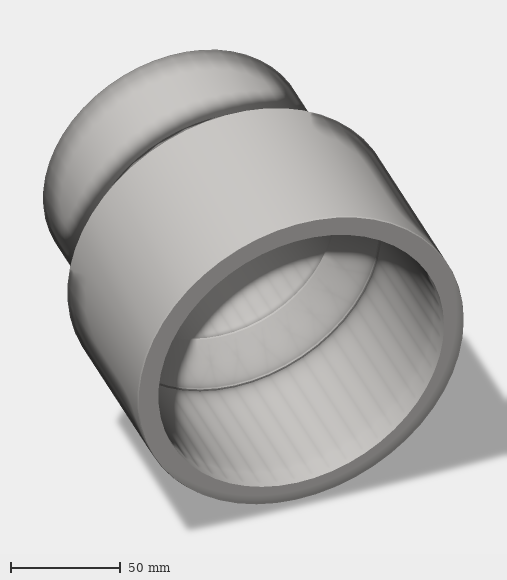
import cadquery as cq

total_length = 155.0
large_outer_diameter = 160.0
small_outer_diameter = 129.0
small_outer_length = 50.4
outer_cone_length = 18.5
end_chamfer_width = 0.3
end_chamfer_length = 0.8

small_bore_diameter = 110.0
large_bore_diameter = 140.0
cone_small_diameter = 108.0
cone_large_diameter = 138.0
small_bore_depth = 60.5
land_length = 1.1
inner_cone_length = 16.6

outer_cone_end = small_outer_length + outer_cone_length
inner_cone_start = small_bore_depth + land_length
inner_cone_end = inner_cone_start + inner_cone_length
large_bore_start = inner_cone_end + land_length


def frustum(start, end, start_diameter, end_diameter):
    """Solid of revolution about X between two stations."""
    profile = [
        (start, 0),
        (start, start_diameter / 2),
        (end, end_diameter / 2),
        (end, 0),
    ]
    return cq.Workplane("XY").polyline(profile).close().revolve(360, (0, 0, 0), (1, 0, 0))


def cylinder(start, end, diameter):
    return frustum(start, end, diameter, diameter)


def make_body():
    small_end_face = small_outer_diameter - 2 * end_chamfer_width
    large_end_face = large_outer_diameter - 2 * end_chamfer_width
    large_chamfer_start = total_length - end_chamfer_length
    small_chamfer = frustum(0, end_chamfer_length, small_end_face, small_outer_diameter)
    small_end = cylinder(end_chamfer_length, small_outer_length, small_outer_diameter)
    shoulder = frustum(small_outer_length, outer_cone_end, small_outer_diameter, large_outer_diameter)
    large_end = cylinder(outer_cone_end, large_chamfer_start, large_outer_diameter)
    large_chamfer = frustum(large_chamfer_start, total_length, large_outer_diameter, large_end_face)
    return small_chamfer.union(small_end).union(shoulder).union(large_end).union(large_chamfer)


def make_bore():
    small_bore = cylinder(0, small_bore_depth, small_bore_diameter)
    small_land = cylinder(small_bore_depth, inner_cone_start, cone_small_diameter)
    cone = frustum(inner_cone_start, inner_cone_end, cone_small_diameter, cone_large_diameter)
    large_land = cylinder(inner_cone_end, large_bore_start, cone_large_diameter)
    large_bore = cylinder(large_bore_start, total_length, large_bore_diameter)
    return small_bore.union(small_land).union(cone).union(large_land).union(large_bore)


result = make_body().cut(make_bore())